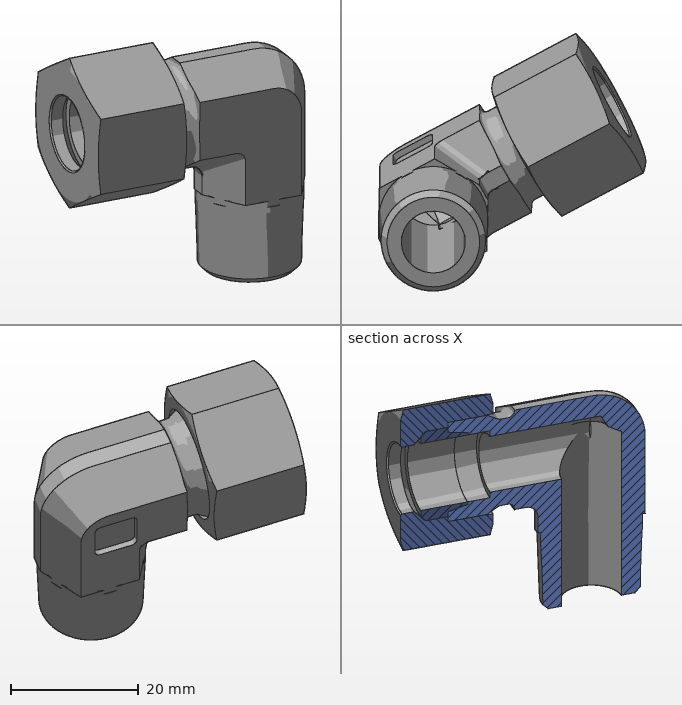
import cadquery as cq
import math


HEX_SIDES = 6
HALF_SIDE_ANGLE = math.radians(180 / HEX_SIDES)

elbow_flats = 17.0
elbow_height = 18.0
inner_corner_radius = 2.0
mark_size = 7.0
mark_corner_radius = 1.0
mark_depth = 1.0
mark_offset = -1.0

tube_arm_end = 12.9
neck_diameter = 15.7
neck_shoulder_radius = 1.1
neck_end = 15.2
thread_root_radius = 1.0
thread_cone_angle = 30.0
thread_diameter = 18.0
tube_face = 24.0

stud_arm_end = 14.0
stud_flats_end = 15.0
stud_collar_end = 16.0
stud_collar_diameter = 17.1
stud_tip_diameter = 16.4
stud_chamfer = 0.95
stud_length = 28.0

bore_diameter = 10.0
socket_diameter = 12.0
socket_depth = 7.0
mouth_diameter = 14.3
mouth_depth = 3.28
mouth_half_angle = 12.0
drill_depth = 1.5
drill_half_angle = 59.0

nut_flats = 22.0
nut_start = 16.45
nut_end = 31.95
nut_chamfer_angle = 15.0
nut_bore_chamfer = 0.25
nut_bore_length = 2.25

ring_outer_diameter = 16.0
ring_tip_diameter = 14.3


def revolve_about_y(points):
    """Turn a (radius, distance along -Y) outline about the Y axis."""
    outline = [(radius, -distance) for radius, distance in points]
    return cq.Workplane("XY").polyline(outline).close().revolve(360, (0, 0, 0), (0, 1, 0))


def revolve_about_z(points):
    """Turn a (radius, distance along -Z) outline about the Z axis."""
    outline = [(radius, -distance) for radius, distance in points]
    return cq.Workplane("XZ").polyline(outline).close().revolve(360, (0, 0, 0), (0, 1, 0))


def hexagon_half():
    """Upper half of the elbow section as (X, height) points."""
    side = elbow_flats / 2
    top = elbow_height / 2
    corner_height = side * math.tan(HALF_SIDE_ANGLE)
    top_half_width = (2 * corner_height - top) / math.tan(HALF_SIDE_ANGLE)
    return [(-side, 0), (-side, corner_height), (-top_half_width, top),
            (top_half_width, top), (side, corner_height), (side, 0)]


def elbow_prism(plane, length):
    """Full elbow section extruded from the origin along the plane's normal."""
    upper = hexagon_half()
    lower = [(-x, -height) for x, height in upper[1:-1]]
    return cq.Workplane(plane).polyline(upper + lower).close().extrude(length)


def make_forging():
    """Two hexagonal arms, the rounded outer bend and the filleted inside corner."""
    tube_arm = elbow_prism("XZ", tube_arm_end)
    stud_arm = elbow_prism("XY", -stud_arm_end)
    bend = (cq.Workplane("XY").polyline(hexagon_half()).close()
            .revolve(90, (0, 0, 0), (1, 0, 0)))
    forging = tube_arm.union(stud_arm).union(bend)
    outer = elbow_height / 2
    inner = elbow_flats / 2 * math.tan(HALF_SIDE_ANGLE)
    margin = 0.05
    corner_zone = cq.selectors.BoxSelector(
        (-elbow_flats, -outer - margin, -outer - margin),
        (elbow_flats, -inner - margin, -inner - margin))
    return forging.edges(corner_zone).fillet(inner_corner_radius)


def make_neck():
    """Neck behind the tube thread with its flared shoulder, trimmed to the hexagon."""
    neck = neck_diameter / 2
    shoulder = neck + neck_shoulder_radius
    shoulder_end = tube_arm_end + neck_shoulder_radius
    mid = neck_shoulder_radius * (1 - math.sqrt(0.5))
    flare = (cq.Workplane("XY")
             .moveTo(0, -tube_arm_end)
             .lineTo(shoulder, -tube_arm_end)
             .threePointArc((neck + mid, -tube_arm_end - mid), (neck, -shoulder_end))
             .lineTo(neck, -neck_end)
             .lineTo(0, -neck_end)
             .close()
             .revolve(360, (0, 0, 0), (0, 1, 0)))
    return flare.intersect(elbow_prism("XZ", neck_end))


def make_tube_thread():
    """Fillet and cone from the neck up to the plain thread cylinder."""
    neck = neck_diameter / 2
    thread = thread_diameter / 2
    angle = math.radians(thread_cone_angle)

    def root_point(turn):
        return (neck + thread_root_radius * (1 - math.cos(turn)),
                -neck_end - thread_root_radius * math.sin(turn))

    cone_radius, cone_start = root_point(angle)
    cone_end = cone_start - (thread - cone_radius) / math.tan(angle)
    return (cq.Workplane("XY")
            .moveTo(0, -neck_end)
            .lineTo(neck, -neck_end)
            .threePointArc(root_point(angle / 2), (cone_radius, cone_start))
            .lineTo(thread, cone_end)
            .lineTo(thread, -tube_face)
            .lineTo(0, -tube_face)
            .close()
            .revolve(360, (0, 0, 0), (0, 1, 0)))


def make_stud():
    """Tapered stud whose collar carries the hexagon flats at its top."""
    collar = stud_collar_diameter / 2
    tip = stud_tip_diameter / 2
    flatted = (revolve_about_z([(0, stud_arm_end), (collar, stud_arm_end),
                                (collar, stud_flats_end), (0, stud_flats_end)])
               .intersect(elbow_prism("XY", -stud_flats_end)))
    taper = revolve_about_z([
        (0, stud_flats_end), (collar, stud_flats_end), (collar, stud_collar_end),
        (tip, stud_length - stud_chamfer), (tip - stud_chamfer, stud_length), (0, stud_length)])
    return flatted.union(taper)


def drill_outline(length):
    """Half outline of a blind drilled bore with a conical end past the origin."""
    radius = bore_diameter / 2
    cone = radius / math.tan(math.radians(drill_half_angle))
    return [(0, length), (radius, length), (radius, -drill_depth), (0, -drill_depth - cone)]


def mouth_outline():
    """Sides of the cone shared by the elbow mouth and the ring nose, wide end first."""
    wide = mouth_diameter / 2
    narrow = wide - mouth_depth * math.tan(math.radians(mouth_half_angle))
    return [(wide, tube_face), (narrow, tube_face - mouth_depth)]


def make_tube_socket():
    """Cutter for the conical mouth and the tube socket behind it."""
    socket = socket_diameter / 2
    stop = tube_face - socket_depth
    return revolve_about_y([
        (0, tube_face), *mouth_outline(),
        (socket, tube_face - mouth_depth), (socket, stop), (0, stop)])


def make_mark_recess():
    """Rounded square recess cut into the -X flat."""
    return (cq.Workplane("XY")
            .box(mark_depth, mark_size, mark_size)
            .edges("|X").fillet(mark_corner_radius)
            .translate(((mark_depth - elbow_flats) / 2, mark_offset, mark_offset)))


def make_elbow():
    solid = make_forging().union(make_neck()).union(make_tube_thread()).union(make_stud())
    solid = solid.cut(revolve_about_y(drill_outline(tube_face)))
    solid = solid.cut(revolve_about_z(drill_outline(stud_length)))
    solid = solid.cut(make_tube_socket())
    return solid.cut(make_mark_recess())


def make_nut():
    """Hexagon with both ends chamfered, bored for the thread, the ring and the tube."""
    face_radius = nut_flats / 2
    corner_radius = face_radius / math.cos(HALF_SIDE_ANGLE)
    chamfer_depth = (corner_radius - face_radius) * math.tan(math.radians(nut_chamfer_angle))
    corner_angles = [2 * HALF_SIDE_ANGLE * i for i in range(HEX_SIDES)]
    corners = [(corner_radius * math.sin(angle), corner_radius * math.cos(angle))
               for angle in corner_angles]
    hexagon = (cq.Workplane("XZ").workplane(offset=nut_start)
               .polyline(corners).close().extrude(nut_end - nut_start))
    turned = revolve_about_y([
        (0, nut_start), (face_radius, nut_start), (corner_radius, nut_start + chamfer_depth),
        (corner_radius, nut_end - chamfer_depth), (face_radius, nut_end), (0, nut_end)])

    thread = thread_diameter / 2
    ring = ring_outer_diameter / 2
    bore = socket_diameter / 2
    seat_end = nut_end - nut_bore_length
    bore_outline = [
        (0, nut_start), (thread, nut_start), (thread, tube_face), (ring, tube_face),
        (ring, seat_end - (ring - bore)), (bore, seat_end), (bore, nut_end - nut_bore_chamfer),
        (bore + nut_bore_chamfer, nut_end), (0, nut_end)]
    return hexagon.intersect(turned).cut(revolve_about_y(bore_outline))


def make_ring():
    """Cutting ring: nose in the elbow mouth, collar on the tube face, 45 degree rear cone."""
    outer = ring_outer_diameter / 2
    tip = ring_tip_diameter / 2
    inner = socket_diameter / 2
    ring_end = nut_end - nut_bore_length - (tip - inner)
    wide_end, narrow_end = mouth_outline()
    return revolve_about_y([
        (inner, tube_face - mouth_depth), narrow_end, wide_end, (outer, tube_face),
        (outer, ring_end - (outer - tip)), (tip, ring_end), (inner, ring_end)])


elbow = make_elbow()
nut = make_nut()
cutting_ring = make_ring()

result = cq.Compound.makeCompound([elbow.val(), nut.val(), cutting_ring.val()])